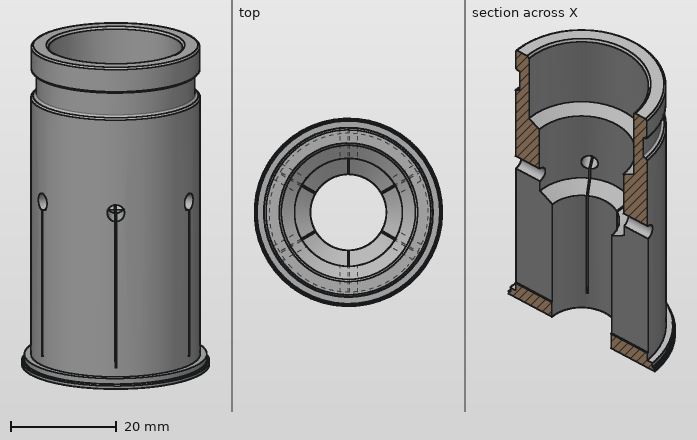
import cadquery as cq
import math

height = 62.5
body_dia = 32.0
rim_dia = 31.9
groove_dia = 30.0
flange_dia = 35.5
step_dia = 34.5

flange_height = 0.9
flange_chamfer = 0.25
step_top = 1.95
groove_bottom = 52.6
groove_top = 57.45
groove_fillet = 0.45
shoulder_chamfer = 0.4
rim_chamfer = 0.4

mouth_dia = 25.3
middle_dia = 20.4
outlet_dia = 14.3
mouth_floor = 47.0
middle_floor = 30.0
cone_half_angle = 60.0
mouth_chamfer = 0.45

slit_count = 6
hole_dia = 3.25
hole_height = 34.0
slit_width = 0.3
slit_bottom = 3.75


def cone_drop(upper_dia, lower_dia):
    """Height of the conical transition between two bore diameters."""
    return (upper_dia - lower_dia) / 2 / math.tan(math.radians(cone_half_angle))


def revolve_about_z(sketch):
    return sketch.close().revolve(360, (0, 0, 0), (0, 1, 0))


def outer_shape():
    flange_r = flange_dia / 2
    step_r = step_dia / 2
    body_r = body_dia / 2
    groove_r = groove_dia / 2
    rim_r = rim_dia / 2
    fillet_centre_z = groove_bottom + groove_fillet
    fillet_offset = groove_fillet * (1 - math.sqrt(0.5))
    sketch = (
        cq.Workplane("XZ")
        .lineTo(flange_r, 0)
        .lineTo(flange_r, flange_height - flange_chamfer)
        .lineTo(flange_r - flange_chamfer, flange_height)
        .lineTo(step_r, flange_height)
        .lineTo(step_r, step_top)
        .lineTo(body_r, step_top)
        .lineTo(body_r, groove_bottom - shoulder_chamfer)
        .lineTo(body_r - shoulder_chamfer, groove_bottom)
        .lineTo(groove_r + groove_fillet, groove_bottom)
        .threePointArc(
            (groove_r + fillet_offset, groove_bottom + fillet_offset),
            (groove_r, fillet_centre_z),
        )
        .lineTo(groove_r, groove_top)
        .lineTo(rim_r - rim_chamfer, groove_top)
        .lineTo(rim_r, groove_top + rim_chamfer)
        .lineTo(rim_r, height - rim_chamfer)
        .lineTo(rim_r - rim_chamfer, height)
        .lineTo(0, height)
    )
    return revolve_about_z(sketch)


def bore():
    mouth_r = mouth_dia / 2
    middle_r = middle_dia / 2
    outlet_r = outlet_dia / 2
    sketch = (
        cq.Workplane("XZ")
        .lineTo(outlet_r, 0)
        .lineTo(outlet_r, middle_floor - cone_drop(middle_dia, outlet_dia))
        .lineTo(middle_r, middle_floor)
        .lineTo(middle_r, mouth_floor - cone_drop(mouth_dia, middle_dia))
        .lineTo(mouth_r, mouth_floor)
        .lineTo(mouth_r, height - mouth_chamfer)
        .lineTo(mouth_r + mouth_chamfer, height)
        .lineTo(0, height)
    )
    return revolve_about_z(sketch)


def relief_cut(angle):
    """A radial hole and the slit below it, cut through one side of the wall."""
    hole = (
        cq.Workplane("XZ")
        .center(0, hole_height)
        .circle(hole_dia / 2)
        .extrude(flange_dia / 2)
    )
    slit = (
        cq.Workplane("XZ")
        .center(0, (hole_height + slit_bottom) / 2)
        .rect(slit_width, hole_height - slit_bottom)
        .extrude(flange_dia / 2)
    )
    return hole.union(slit).rotate((0, 0, 0), (0, 0, 1), angle)


result = outer_shape().cut(bore())
for index in range(slit_count):
    result = result.cut(relief_cut(index * 360 / slit_count))